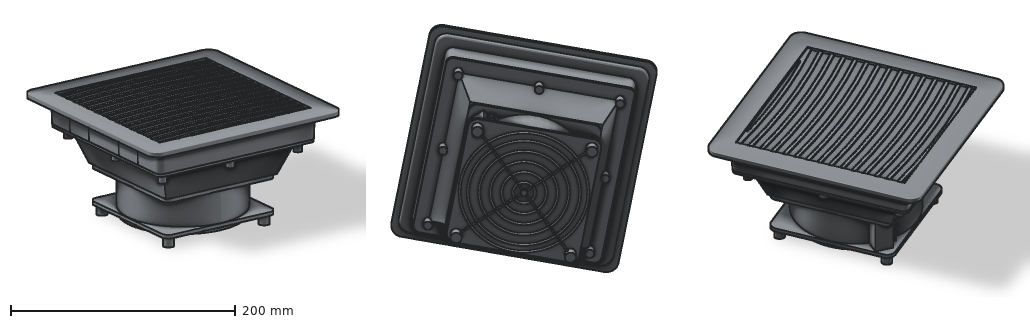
import cadquery as cq
import math

HEIGHT = 112.1
Z_BEZEL_EDGE = HEIGHT - 0.7
Z_BEZEL_BOTTOM = HEIGHT - 5.2
Z_GASKET_BOTTOM = HEIGHT - 8.6
Z_BODY_BOTTOM = HEIGHT - 28.9
Z_RIM_BOTTOM = HEIGHT - 31.6
Z_BOSS_BOTTOM = HEIGHT - 41.6
Z_FLANGE_TOP = HEIGHT - 64.4
Z_FLANGE_BOTTOM = HEIGHT - 68.2
Z_BASE_TOP = HEIGHT - 98.8
Z_BASE_BOTTOM = HEIGHT - 102.4

BEZEL_WIDTH = 206.0
BEZEL_RADIUS = 11.2
BEZEL_EDGE_FILLET = 0.5
BEZEL_TOP_WIDTH = 184.4
BEZEL_TOP_RADIUS = 2.5
GASKET_WIDTH = 194.6
GASKET_RADIUS = 11.0
GASKET_FILLET = 2.5

OPENING_WIDTH = 163.4
OPENING_RECESS = 1.0
OPENING_DRAFT = 12.0
CHANNEL_DEPTH = 1.2
SLAT_COUNT = 15
SLAT_PITCH = 11.1
SLAT_WIDTH = 3.9
SLAT_SAG = 4.9
FIRST_SLAT_X = -82.7
LAST_CHANNEL_LENGTH = 120.0

BODY_TOP_WIDTH = 172.8
BODY_BOTTOM_WIDTH = 171.4
RIM_WIDTH = 170.6
BODY_FLAT_WIDTH = 158.8
CLIP_INNER_X = 23.3
CLIP_OUTER_X = 53.0
CLIP_THICKNESS = 0.2
FUNNEL_TOP_WIDTH = 145.0
BOSS_RADIUS = 3.9
BOSS_PITCH = 73.4

FAN_WIDTH = 120.3
FAN_RADIUS = 8.0
FAN_BODY_RADIUS = 59.4
FOOT_RADIUS = 5.0
FOOT_PITCH = 51.9

BLOCK_OUTER_U = -73.0
BLOCK_STEP_U = -63.8
BLOCK_INNER_U = -50.0
BLOCK_FRONT_V = -6.5
BLOCK_STEP_V = -12.7
BLOCK_BACK_V = 10.8
TAB_CENTER_U = -67.7
TAB_WIDTH = 3.2
TAB_LENGTH = 7.0
TAB_THICKNESS = 0.6
TAB_LEVELS = (HEIGHT - 79.1, HEIGHT - 87.1)

RING_WIRE_RADIUS = 1.1
ARM_WIRE_RADIUS = 0.9
Z_ARMS = HEIGHT - 105.3
Z_RINGS = HEIGHT - 107.0
OUTER_RING_RADIUS = 57.4
HUB_RADIUS = 3.0
INNER_RING_RADII = (10.0, 20.0, 30.0, 40.0, 50.0)


def rounded_square(width, radius):
    return cq.Sketch().rect(width, width).vertices().fillet(radius)


def opening_block(depth):
    """Square block the size of the grille opening, narrowing by the wall draft below the bezel face."""
    outline = cq.Workplane("XY", origin=(0, 0, HEIGHT)).rect(OPENING_WIDTH, OPENING_WIDTH)
    return outline.extrude(-depth, taper=OPENING_DRAFT)


def plate(width, radius, z_bottom, z_top):
    sketch = rounded_square(width, radius)
    return cq.Workplane("XY", origin=(0, 0, z_bottom)).placeSketch(sketch).extrude(z_top - z_bottom)


def tapered(bottom_width, bottom_radius, z_bottom, top_width, top_radius, z_top):
    bottom = rounded_square(bottom_width, bottom_radius)
    top = rounded_square(top_width, top_radius).moved(cq.Location(cq.Vector(0, 0, z_top - z_bottom)))
    return cq.Workplane("XY", origin=(0, 0, z_bottom)).placeSketch(bottom, top).loft()


def posts(points, radius, z_bottom, z_top):
    plane = cq.Workplane("XY", origin=(0, 0, z_bottom))
    return plane.pushPoints(points).circle(radius).extrude(z_top - z_bottom)


def bezel():
    edge_width = BEZEL_WIDTH - 2 * BEZEL_EDGE_FILLET
    edge_radius = BEZEL_RADIUS - BEZEL_EDGE_FILLET
    slab = plate(BEZEL_WIDTH, BEZEL_RADIUS, Z_BEZEL_BOTTOM, Z_BEZEL_EDGE)
    slab = slab.faces(">Z").edges().fillet(BEZEL_EDGE_FILLET)
    border = tapered(edge_width, edge_radius, Z_BEZEL_EDGE, BEZEL_TOP_WIDTH, BEZEL_TOP_RADIUS, HEIGHT)
    return slab.union(border)


def channel(left_x, right_x, length):
    """Bowed floor strip between two slats, spanning `length` in Y."""
    half = length / 2
    sag = SLAT_SAG * (length / OPENING_WIDTH) ** 2
    z_top = HEIGHT - OPENING_RECESS
    return (
        cq.Workplane("XY", origin=(0, 0, z_top))
        .moveTo(left_x + sag, -half)
        .threePointArc((left_x, 0), (left_x + sag, half))
        .lineTo(right_x + sag, half)
        .threePointArc((right_x, 0), (right_x + sag, -half))
        .close()
        .extrude(-CHANNEL_DEPTH)
    )


def grille_cut():
    cut = opening_block(OPENING_RECESS)
    bounds = opening_block(OPENING_RECESS + CHANNEL_DEPTH)
    for i in range(SLAT_COUNT + 1):
        slat_x = FIRST_SLAT_X + i * SLAT_PITCH
        left_x = slat_x - SLAT_PITCH + SLAT_WIDTH
        length = LAST_CHANNEL_LENGTH if i == SLAT_COUNT else OPENING_WIDTH
        cut = cut.union(channel(left_x, slat_x, length).intersect(bounds))
    return cut


def gasket():
    pad = plate(GASKET_WIDTH, GASKET_RADIUS, Z_GASKET_BOTTOM, Z_BEZEL_BOTTOM)
    return pad.faces("<Z").edges().fillet(GASKET_FILLET)


def housing():
    top_radius = (BODY_TOP_WIDTH - BODY_FLAT_WIDTH) / 2
    bottom_radius = (BODY_BOTTOM_WIDTH - BODY_FLAT_WIDTH) / 2
    rim_radius = (RIM_WIDTH - BODY_FLAT_WIDTH) / 2
    body = tapered(
        BODY_BOTTOM_WIDTH, bottom_radius, Z_BODY_BOTTOM,
        BODY_TOP_WIDTH, top_radius, Z_GASKET_BOTTOM,
    )
    rim = plate(RIM_WIDTH, rim_radius, Z_RIM_BOTTOM, Z_BODY_BOTTOM)
    funnel = (
        cq.Workplane("XY", origin=(0, 0, Z_FLANGE_TOP))
        .rect(FAN_WIDTH, FAN_WIDTH)
        .workplane(offset=Z_RIM_BOTTOM - Z_FLANGE_TOP)
        .rect(FUNNEL_TOP_WIDTH, FUNNEL_TOP_WIDTH)
        .loft(ruled=True)
    )
    steps = (-BOSS_PITCH, 0, BOSS_PITCH)
    boss_points = [(x, y) for x in steps for y in steps if (x, y) != (0, 0)]
    bosses = posts(boss_points, BOSS_RADIUS, Z_BOSS_BOTTOM, Z_RIM_BOTTOM)
    return body.union(rim).union(funnel).union(bosses)


def side_clips():
    """Two thin clip plates following the drafted -Y wall of the body."""
    wall_bottom_y = -BODY_BOTTOM_WIDTH / 2
    wall_top_y = -BODY_TOP_WIDTH / 2
    profile = [
        (wall_bottom_y + CLIP_THICKNESS, Z_BODY_BOTTOM),
        (wall_bottom_y - CLIP_THICKNESS, Z_BODY_BOTTOM),
        (wall_top_y - CLIP_THICKNESS, Z_GASKET_BOTTOM),
        (wall_top_y + CLIP_THICKNESS, Z_GASKET_BOTTOM),
    ]
    right_clip = (
        cq.Workplane("YZ", origin=(CLIP_INNER_X, 0, 0))
        .polyline(profile)
        .close()
        .extrude(CLIP_OUTER_X - CLIP_INNER_X)
    )
    return right_clip.union(right_clip.mirror("YZ"))


def fan():
    flange = plate(FAN_WIDTH, FAN_RADIUS, Z_FLANGE_BOTTOM, Z_FLANGE_TOP)
    drum = posts([(0, 0)], FAN_BODY_RADIUS, Z_BASE_TOP, Z_FLANGE_BOTTOM)
    base = plate(FAN_WIDTH, FAN_RADIUS, Z_BASE_BOTTOM, Z_BASE_TOP)
    corners = [(x, y) for x in (-FOOT_PITCH, FOOT_PITCH) for y in (-FOOT_PITCH, FOOT_PITCH)]
    feet = posts(corners, FOOT_RADIUS, 0, Z_BASE_BOTTOM)
    return flange.union(drum).union(base).union(feet)


def terminal_block():
    outline = [
        (BLOCK_OUTER_U, BLOCK_FRONT_V),
        (BLOCK_STEP_U, BLOCK_FRONT_V),
        (BLOCK_STEP_U, BLOCK_STEP_V),
        (BLOCK_INNER_U, BLOCK_STEP_V),
        (BLOCK_INNER_U, BLOCK_BACK_V),
        (BLOCK_OUTER_U, BLOCK_BACK_V),
    ]
    block = (
        cq.Workplane("XY", origin=(0, 0, Z_BASE_TOP))
        .polyline(outline)
        .close()
        .extrude(Z_FLANGE_BOTTOM - Z_BASE_TOP)
    )
    for level in TAB_LEVELS:
        tab = cq.Workplane("XY").box(TAB_WIDTH, 2 * TAB_LENGTH, TAB_THICKNESS)
        block = block.union(tab.translate((TAB_CENTER_U, BLOCK_FRONT_V, level)))
    return block.rotate((0, 0, 0), (0, 0, 1), -45)


def wire_ring(radius, z):
    return cq.Workplane(cq.Solid.makeTorus(radius, RING_WIRE_RADIUS, cq.Vector(0, 0, z)))


def finger_guard():
    """Concentric rings carried by four diagonal wires that run from a hub to the feet."""
    arm_length = math.hypot(FOOT_PITCH, FOOT_PITCH)
    arm = cq.Workplane("YZ", origin=(0, 0, Z_ARMS)).circle(ARM_WIRE_RADIUS).extrude(arm_length)
    guard = posts([(0, 0)], HUB_RADIUS, Z_RINGS - RING_WIRE_RADIUS, Z_ARMS + RING_WIRE_RADIUS)
    for angle in (45, 135, 225, 315):
        guard = guard.union(arm.rotate((0, 0, 0), (0, 0, 1), angle))
    guard = guard.union(wire_ring(OUTER_RING_RADIUS, Z_ARMS), clean=False)
    for radius in INNER_RING_RADII:
        guard = guard.union(wire_ring(radius, Z_RINGS), clean=False)
    return guard


result = bezel().cut(grille_cut())
for section in (gasket(), housing(), side_clips(), fan(), terminal_block(), finger_guard()):
    result = result.union(section, clean=False)